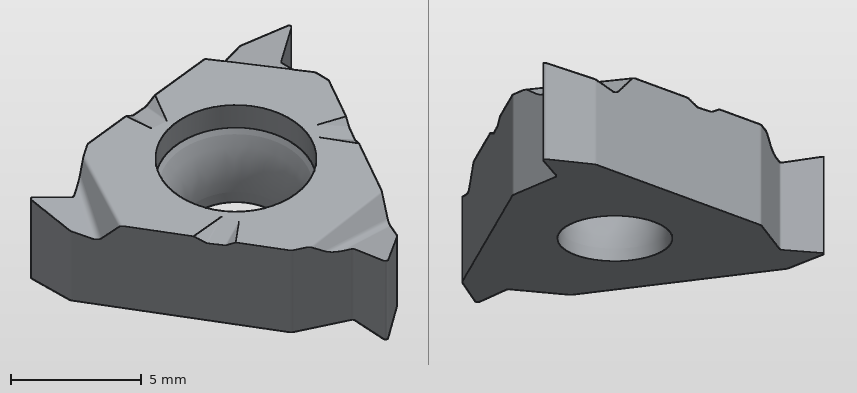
import cadquery as cq
import math

thickness = 4.19
corners = 3
side_distance = 4.75
shoulder_distance = 5.73

tooth_x = -3.75
tooth_top = 7.21
tooth_half_angle = 28.0
tip_radius = 0.106
notch_radius = 0.14
corner_radius = 0.28

bore_diameter = 4.4
head_diameter = 6.17
head_depth = 1.15
lip_width = 0.15
lip_height = 0.2
seat_depth = 3.67

rake_angle = 15.0
tip_drop = 0.17
wall_start_y = 3.47
wall_heading = 32.0
wall_angle = 51.0
groove_radius = 0.32
groove_lip_radius = 0.18

mark_x = -3.47
mark_y = -0.55
mark_heading = 167.7
mark_ramp_angle = 10.3
mark_floor_width = 0.72
mark_wall_angle = 28.0
mark_fillet = 0.14

reach = 8.47
tolerance = 0.01


def tan(degrees):
    return math.tan(math.radians(degrees))


def sin(degrees):
    return math.sin(math.radians(degrees))


def cos(degrees):
    return math.cos(math.radians(degrees))


def turn(point, degrees):
    x, y = point
    return (x * cos(degrees) - y * sin(degrees), x * sin(degrees) + y * cos(degrees))


turns = [index * 360 / corners for index in range(corners)]

apex_y = tooth_top + tip_radius * (1 / sin(tooth_half_angle) - 1)
next_side_x = (side_distance - shoulder_distance * sin(60)) / cos(60)
shoulder_end = (next_side_x, shoulder_distance)
notch = (tooth_x + (apex_y - shoulder_distance) * tan(tooth_half_angle), shoulder_distance)
apex = (tooth_x, apex_y)
tooth_root = (-side_distance, apex_y - (tooth_x + side_distance) / tan(tooth_half_angle))
corner_outline = [
    (shoulder_end, corner_radius),
    (notch, notch_radius),
    (apex, tip_radius),
    (tooth_root, corner_radius),
]


def make_body():
    outline = [turn(point, angle) for angle in turns for point, _ in corner_outline]
    body = cq.Workplane("XY").polyline(outline).close().extrude(thickness)
    for point, radius in corner_outline:
        for angle in turns:
            x, y = turn(point, angle)
            edge = cq.selectors.BoxSelector(
                (x - tolerance, y - tolerance, 0), (x + tolerance, y + tolerance, thickness)
            )
            body = body.edges("|Z").edges(edge).fillet(radius)
    return body


def make_screw_hole():
    bore_radius = bore_diameter / 2
    head_radius = head_diameter / 2
    seat_top_radius = head_radius - lip_width
    seat_bottom = thickness - seat_depth
    seat_top = thickness - head_depth - lip_height
    seat_rise = seat_top - seat_bottom
    seat_run = seat_top_radius - bore_radius
    seat_radius = (seat_rise**2 + seat_run**2) / (2 * seat_run)
    seat_sweep = math.degrees(math.asin(seat_rise / seat_radius))
    seat_center_radius = bore_radius + seat_radius
    seat_middle = (
        seat_center_radius - seat_radius * cos(seat_sweep / 2),
        seat_bottom + seat_radius * sin(seat_sweep / 2),
    )
    return (
        cq.Workplane("XZ")
        .moveTo(0, 0)
        .lineTo(bore_radius, 0)
        .lineTo(bore_radius, seat_bottom)
        .threePointArc(seat_middle, (seat_top_radius, seat_top))
        .lineTo(head_radius, thickness - head_depth)
        .lineTo(head_radius, thickness)
        .lineTo(0, thickness)
        .close()
        .revolve(360, (0, 0), (0, 1))
    )


def make_chip_groove():
    tip_z = thickness - tip_drop
    above_rake = (
        cq.Workplane("YZ", origin=(0, tooth_top, tip_z))
        .polyline([(-reach, -reach * tan(rake_angle)), (reach, reach * tan(rake_angle)), (-reach, reach)])
        .close()
        .extrude(reach, both=True)
    )
    wall_plane = cq.Plane(
        origin=(-side_distance, wall_start_y, thickness),
        xDir=(-sin(wall_heading), cos(wall_heading), 0),
        normal=(cos(wall_heading), sin(wall_heading), 0),
    )
    run = reach / tan(wall_angle)
    beyond_wall = (
        cq.Workplane(wall_plane)
        .polyline([(-run, reach), (run, -reach), (reach, -reach), (reach, reach)])
        .close()
        .extrude(reach, both=True)
    )
    groove = above_rake.intersect(beyond_wall)
    root = (-side_distance, wall_start_y, thickness)
    return groove.edges(cq.selectors.NearestToPointSelector(root)).fillet(groove_radius)


def make_mark_notch():
    ramp_plane = cq.Plane(
        origin=(mark_x, mark_y, thickness),
        xDir=(-sin(mark_heading), cos(mark_heading), 0),
        normal=(
            cos(mark_heading) * cos(mark_ramp_angle),
            sin(mark_heading) * cos(mark_ramp_angle),
            -sin(mark_ramp_angle),
        ),
    )
    height = 1.41
    half_floor = mark_floor_width / 2
    half_top = half_floor + height / tan(mark_wall_angle)
    return (
        cq.Workplane(ramp_plane)
        .polyline([(-half_floor, 0), (half_floor, 0), (half_top, height), (-half_top, height)])
        .close()
        .extrude(reach / 2)
        .edges(cq.selectors.ParallelDirSelector(ramp_plane.zDir))
        .edges("<Z")
        .fillet(mark_fillet)
    )


result = make_body().cut(make_screw_hole())
chip_groove = make_chip_groove()
mark_notch = make_mark_notch()
for angle in turns:
    for cutter in (chip_groove, mark_notch):
        result = result.cut(cutter.rotate((0, 0, 0), (0, 0, 1), angle))

lip_offset = 1.7
lip_middle = (-side_distance + lip_offset, wall_start_y + lip_offset * tan(wall_heading))
for angle in turns:
    x, y = turn(lip_middle, angle)
    lip = cq.selectors.NearestToPointSelector((x, y, thickness))
    result = result.edges(lip).fillet(groove_lip_radius)